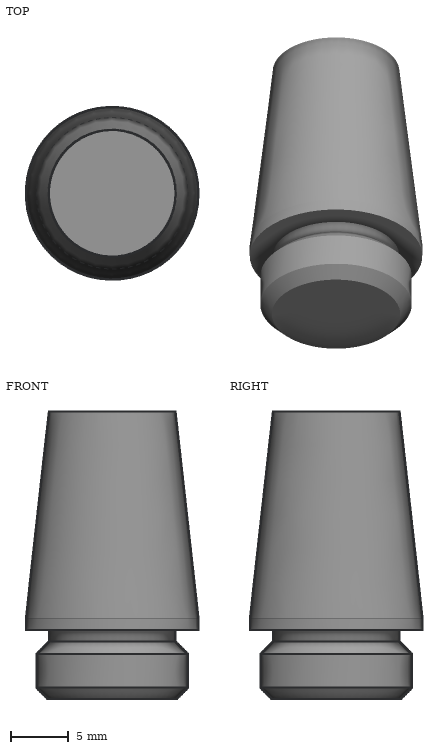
import cadquery as cq

plug_radius = 13.16 / 2
neck_radius = 11.0 / 2
plug_chamfer = 1.0
neck_bottom = 5.0
shoulder_height = plug_radius - neck_radius
shoulder_bottom = neck_bottom - shoulder_height

total_height = 25.0
tip_radius = 11.0 / 2
skirt_radius = 15.0 / 2
skirt_bottom = 6.0
skirt_height = 1.0
skirt_top = skirt_bottom + skirt_height


def revolve_outline(outline):
    """Turn a closed (radius, height) outline around the Z axis."""
    return cq.Workplane("XZ").polyline(outline).close().revolve(360, (0, 0, 0), (0, 1, 0))


def make_plug():
    """Chamfered head that narrows through a shoulder to the neck."""
    return revolve_outline([
        (0, 0),
        (plug_radius - plug_chamfer, 0),
        (plug_radius, plug_chamfer),
        (plug_radius, shoulder_bottom),
        (neck_radius, neck_bottom),
        (neck_radius, skirt_bottom),
        (0, skirt_bottom),
    ])


def make_cone():
    """Short cylindrical skirt that tapers up to a flat tip."""
    return revolve_outline([
        (0, skirt_bottom),
        (skirt_radius, skirt_bottom),
        (skirt_radius, skirt_top),
        (tip_radius, total_height),
        (0, total_height),
    ])


plug = make_plug()
cone = make_cone()

result = cq.Compound.makeCompound([plug.val(), cone.val()])